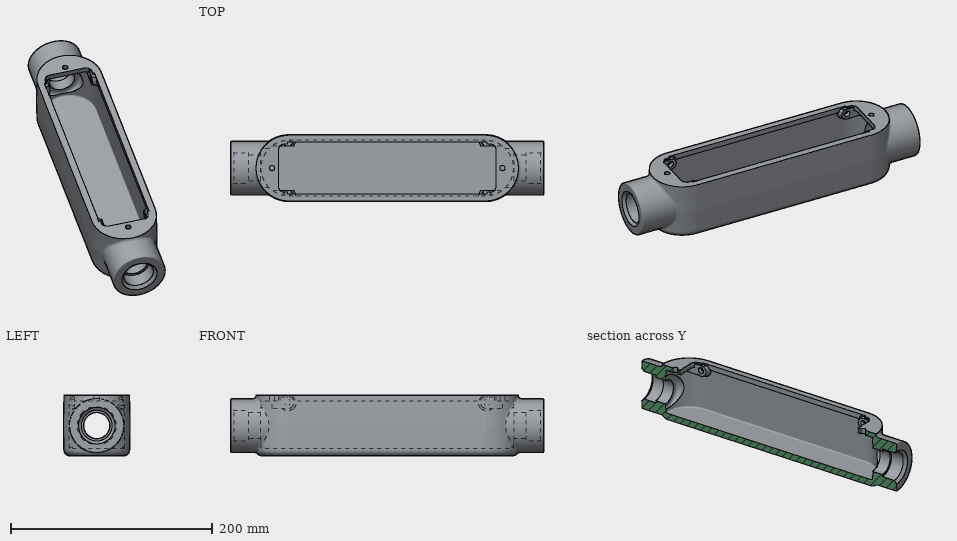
import cadquery as cq
import math

LENGTH = 311.0
BODY_WIDTH = 66.5
BODY_HEIGHT = 60.5
HALF_HEIGHT = BODY_HEIGHT / 2

RIM_WIDTH = 65.3
ARC_START_X = 98.5
BODY_END_X = 131.0
BASE_FILLET = 6.2

WALL = 5.5
FLOOR_THICKNESS = 7.5
FLOOR_FILLET = 1.5
LIP_DEPTH = 5.5
OPENING_LENGTH = 216.5
OPENING_WIDTH = 51.5
OPENING_CORNER = 6.2
OPENING_END_WIDTH = 48.0

HUB_DIAMETER = 53.8
HUB_EDGE_FILLET = 1.2
HUB_SEAM_ANGLE = 45.0
HUB_ROOT_FILLET = 3.0
MOUTH_DIAMETER = 36.5
MOUTH_CHAMFER_DEPTH = 3.0
BORE_DIAMETER = 30.5
BORE_DEPTH = 17.5
THROAT_DIAMETER = 25.8
POCKET_DIAMETER = 38.5
POCKET_FLOOR_DIAMETER = 33.5
POCKET_FLOOR_X = 126.0

COVER_HOLE_DIAMETER = 5.3
COVER_HOLE_X = 114.5
COVER_HOLE_DEPTH = 9.3

BOSS_X = 99.0
BOSS_Z = 23.0
BOSS_BASE_RADIUS = 8.5
BOSS_FACE_RADIUS = 6.2
BOSS_FACE_Y = 22.0
BOSS_TOP_Z = 28.5
BOSS_HOLE_DIAMETER = 6.2
BOSS_HOLE_DEPTH = 4.7
WEB_BOTTOM_Z = 17.0

LIP_BOTTOM_Z = HALF_HEIGHT - LIP_DEPTH
FLOOR_Z = FLOOR_THICKNESS - HALF_HEIGHT
INNER_HALF_WIDTH = BODY_WIDTH / 2 - WALL


def body_outline(inset, z):
    """Straight sides closed by a round arc at each end, moved inwards by inset."""
    half_width = BODY_WIDTH / 2 - inset
    end_x = BODY_END_X - inset
    return (
        cq.Workplane("XY").workplane(offset=z)
        .moveTo(-ARC_START_X, -half_width)
        .lineTo(ARC_START_X, -half_width)
        .threePointArc((end_x, 0), (ARC_START_X, half_width))
        .lineTo(-ARC_START_X, half_width)
        .threePointArc((-end_x, 0), (-ARC_START_X, -half_width))
        .close()
    )


def outer_body():
    draft = math.degrees(math.atan((BODY_WIDTH - RIM_WIDTH) / 2 / HALF_HEIGHT))
    upper = body_outline(0, 0).extrude(HALF_HEIGHT, taper=draft)
    lower = body_outline(0, 0).extrude(-HALF_HEIGHT, taper=draft)
    lower = lower.faces("<Z").edges().fillet(BASE_FILLET)
    return upper.union(lower)


def hub():
    """Hub on +X, turned so that its seam stays clear of the seams of the body."""
    root_x = ARC_START_X - HUB_DIAMETER / 2
    bar = cq.Workplane("YZ").workplane(offset=root_x).circle(HUB_DIAMETER / 2).extrude(LENGTH / 2 - root_x)
    bar = bar.faces(">X").edges().fillet(HUB_EDGE_FILLET)
    return bar.rotate((0, 0, 0), (1, 0, 0), HUB_SEAM_ANGLE)


def is_hub_root(edge):
    """True for the edges where a hub meets the outside of the body."""
    points = [edge.positionAt(t) for t in (0, 0.5, 1)]
    on_hub = all(abs(math.hypot(p.y, p.z) - HUB_DIAMETER / 2) < 0.03 for p in points)
    beside_body = abs(edge.Center().x) < LENGTH / 2 - 2 * HUB_EDGE_FILLET
    return on_hub and beside_body and edge.geomType() != "LINE"


def outer_shell():
    shell = outer_body().union(hub()).union(hub().mirror("YZ"))
    root_edges = [edge for edge in shell.edges().vals() if is_hub_root(edge)]
    return shell.newObject(root_edges).fillet(HUB_ROOT_FILLET)


def room():
    """Hollow below the lip."""
    hollow = body_outline(WALL, FLOOR_Z).extrude(LIP_BOTTOM_Z - FLOOR_Z)
    return hollow.faces("<Z").edges().fillet(FLOOR_FILLET)


def opening():
    """Opening through the lip, narrowed at its ends by the boss webs."""
    middle = cq.Workplane("XY").rect(2 * BOSS_X, OPENING_WIDTH).extrude(HALF_HEIGHT)
    full_length = (
        cq.Workplane("XY").rect(OPENING_LENGTH, OPENING_END_WIDTH).extrude(HALF_HEIGHT)
        .edges("|Z").fillet(OPENING_CORNER)
    )
    return middle.union(full_length)


def hub_bore():
    """Bore of the hub on +X: chamfered mouth, bore, throat and rounded inner pocket."""
    mouth_x = LENGTH / 2
    chamfer_x = mouth_x - MOUTH_CHAMFER_DEPTH
    bore_end_x = mouth_x - BORE_DEPTH
    pocket_radius = POCKET_DIAMETER / 2
    floor_radius = POCKET_FLOOR_DIAMETER / 2
    corner = pocket_radius - floor_radius
    corner_mid = corner * math.sqrt(0.5)
    corner_x = POCKET_FLOOR_X - corner
    return (
        cq.Workplane("XY").moveTo(ARC_START_X, 0)
        .lineTo(ARC_START_X, pocket_radius)
        .lineTo(corner_x, pocket_radius)
        .threePointArc((corner_x + corner_mid, floor_radius + corner_mid), (POCKET_FLOOR_X, floor_radius))
        .lineTo(POCKET_FLOOR_X, THROAT_DIAMETER / 2)
        .lineTo(bore_end_x, THROAT_DIAMETER / 2)
        .lineTo(bore_end_x, BORE_DIAMETER / 2)
        .lineTo(chamfer_x, BORE_DIAMETER / 2)
        .lineTo(mouth_x, MOUTH_DIAMETER / 2)
        .lineTo(mouth_x, 0)
        .close().revolve(360, (0, 0, 0), (1, 0, 0))
    )


def cover_holes():
    return (
        cq.Workplane("XY").workplane(offset=HALF_HEIGHT)
        .pushPoints([(-COVER_HOLE_X, 0), (COVER_HOLE_X, 0)])
        .circle(COVER_HOLE_DIAMETER / 2).extrude(-COVER_HOLE_DEPTH)
    )


def boss_plane(y):
    """Plane across the boss axis at height y, facing the middle of the cavity."""
    return cq.Workplane(cq.Plane((BOSS_X, y, BOSS_Z), (1, 0, 0), (0, -1, 0)))


def boss():
    """Boss and web in the (+X, +Y) corner, trimmed to the cavity walls and just below the rim."""
    height = INNER_HALF_WIDTH - BOSS_FACE_Y
    cone = (
        boss_plane(INNER_HALF_WIDTH).circle(BOSS_BASE_RADIUS)
        .workplane(offset=height).circle(BOSS_FACE_RADIUS).loft()
    )
    web = (
        cq.Workplane("XY").workplane(offset=WEB_BOTTOM_Z)
        .moveTo((BOSS_X + BODY_END_X) / 2, BOSS_FACE_Y + height / 2)
        .rect(BODY_END_X - BOSS_X, height).extrude(BOSS_TOP_Z - WEB_BOTTOM_Z)
    )
    inside = body_outline(WALL, FLOOR_Z).extrude(BOSS_TOP_Z - FLOOR_Z)
    return cone.union(web).intersect(inside)


def boss_hole():
    return boss_plane(BOSS_FACE_Y).circle(BOSS_HOLE_DIAMETER / 2).extrude(-BOSS_HOLE_DEPTH)


def at_both_ends(feature):
    return feature.union(feature.mirror("YZ"))


def at_four_corners(feature):
    pair = at_both_ends(feature)
    return pair.union(pair.mirror("XZ"))


result = (
    outer_shell()
    .cut(room())
    .cut(opening())
    .cut(at_both_ends(hub_bore()))
    .cut(cover_holes())
    .union(at_four_corners(boss()))
    .cut(at_four_corners(boss_hole()))
)